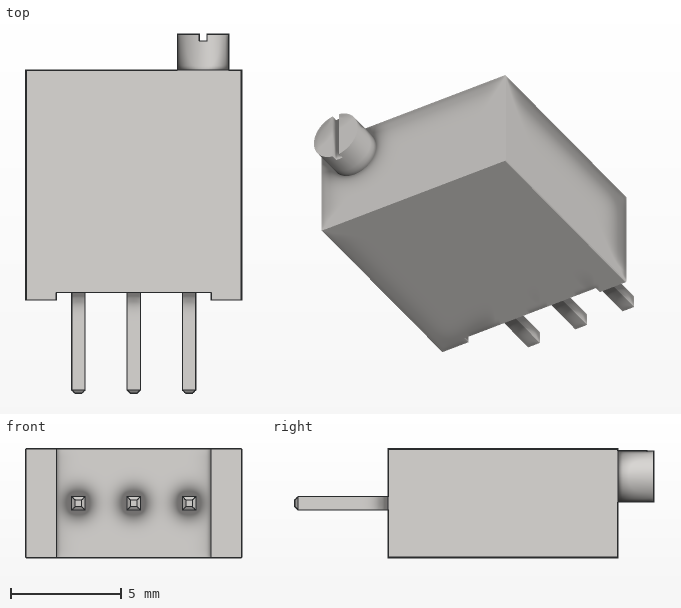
import cadquery as cq

BODY_WIDTH = 9.8
BODY_HEIGHT = 4.95
BODY_LENGTH = 10.41
FOOT_WIDTH = 1.4
FOOT_DEPTH = 0.34
EDGE_CHAMFER = 0.04

SCREW_DIAMETER = 2.33
SCREW_LENGTH = 1.63
SCREW_X = 3.14
SCREW_Z = 1.22
SLOT_WIDTH = 0.34
SLOT_DEPTH = 0.31

PIN_COUNT = 3
PIN_PITCH = 2.5
PIN_SIZE = 0.62
PIN_REACH = 4.23
TIP_CHAMFER = 0.16

REAR_Y = BODY_LENGTH / 2
FEET_Y = -BODY_LENGTH / 2


def make_body():
    """Housing with a full-height relief between the feet."""
    relief_width = BODY_WIDTH - 2 * FOOT_WIDTH
    relief = cq.Workplane("XY").box(relief_width, 2 * FOOT_DEPTH, BODY_HEIGHT)
    housing = cq.Workplane("XY").box(BODY_WIDTH, BODY_LENGTH, BODY_HEIGHT)
    return housing.edges("|Y").chamfer(EDGE_CHAMFER).cut(relief.translate((0, FEET_Y, 0)))


def make_screw():
    """Cylinder along +Y with a screwdriver slot running along Z across its end."""
    rear_face = cq.Workplane("XZ", origin=(SCREW_X, REAR_Y, SCREW_Z))
    shank = rear_face.circle(SCREW_DIAMETER / 2).extrude(-SCREW_LENGTH)
    slot = cq.Workplane("XY").box(SLOT_WIDTH, 2 * SLOT_DEPTH, SCREW_DIAMETER)
    return shank.cut(slot.translate((SCREW_X, REAR_Y + SCREW_LENGTH, SCREW_Z)))


def make_pin(x):
    """Square pin along -Y, starting on the relieved front face."""
    front_face = cq.Workplane("XZ", origin=(x, FEET_Y + FOOT_DEPTH, 0))
    pin = front_face.rect(PIN_SIZE, PIN_SIZE).extrude(FOOT_DEPTH + PIN_REACH)
    return pin.faces("<Y").chamfer(TIP_CHAMFER)


result = make_body().union(make_screw())
for index in range(PIN_COUNT):
    pin_x = (index - (PIN_COUNT - 1) / 2) * PIN_PITCH
    result = result.union(make_pin(pin_x))